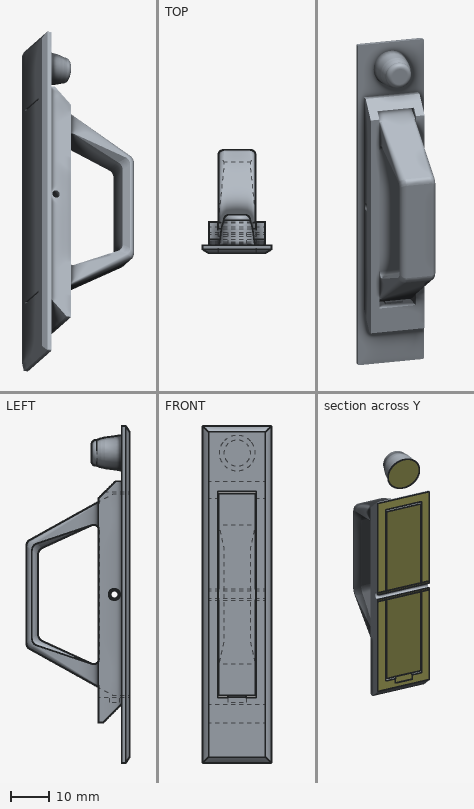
import cadquery as cq
import math


plate_width = 18.0
plate_length = 88.0
plate_thickness = 2.1
bevel_width = 1.6
bevel_depth = 1.1
plate_corner_radius = 0.35

housing_width = 14.7
housing_rear = 8.2
housing_top = 29.6
housing_bottom = -33.4
top_slope_start = 3.7
bottom_slope_end = 6.95

slot_width = 9.9
slot_length = 53.7
side_gap = 0.13
end_gap = 0.5
block_width = slot_width - 2 * side_gap
block_length = slot_length - 2 * end_gap
block_end_depth = 4.4

block_rear = 8.0
pivot_y = block_rear / 2
pin_diameter = 3.0
pin_bore = 2.0

grip_rear = 27.0
grip_thickness = 3.1
grip_front = grip_rear - grip_thickness
grip_outer = (grip_rear, 13.7)
grip_inner = (grip_front, 11.6)
root_outer = (block_rear, 24.3)
root_inner = (block_rear, 18.9)
grip_round = 1.4
root_round = 0.6
grip_chamfer_depth = 1.6
grip_chamfer_width = 1.4
root_chamfer = 0.1
outer_bend_radius = 1.8
inner_bend_radius = 2.0
root_fillet = 1.4
bend_steps = 4

catch_width = 4.75
catch_thickness = 2.6
catch_recess = 1.3

knob_z = 37.0
knob_height = 7.9
knob_base_radius = 4.7
knob_shoulder = (4.05, 4.4)
knob_neck = (3.8, 5.5)
knob_rim = (3.4, 6.5)
knob_tip_radius = 2.1


def box_between(width, y_front, y_rear, z_low, z_high):
    """Box centred on X between the given Y and Z limits."""
    size_y = y_rear - y_front
    size_z = z_high - z_low
    box = cq.Workplane("XY").box(width, size_y, size_z)
    return box.translate((0, (y_front + y_rear) / 2, (z_low + z_high) / 2))


def pivot_cylinder(diameter):
    """Cylinder along X on the pivot axis, as long as the housing is wide."""
    plane = cq.Workplane("YZ", origin=(-housing_width / 2, 0, 0))
    return plane.center(pivot_y, 0).circle(diameter / 2).extrude(housing_width)


def catch_block():
    slot_end = -slot_length / 2
    return box_between(
        catch_width,
        pivot_y - catch_thickness / 2,
        pivot_y + catch_thickness / 2,
        slot_end - catch_recess,
        slot_end + end_gap,
    )


def make_plate():
    """Plate with rounded corners and a bevel all round its front."""
    half = plate_length / 2
    rim = box_between(plate_width, 0, plate_thickness, -half, half).edges("|Y").fillet(plate_corner_radius)
    bevel_angle = math.degrees(math.atan2(bevel_width, bevel_depth))
    base_margin = bevel_width / bevel_depth * (plate_thickness - bevel_depth)
    bevelled = (
        cq.Workplane("XZ", origin=(0, plate_thickness, 0))
        .rect(plate_width + 2 * base_margin, plate_length + 2 * base_margin)
        .extrude(plate_thickness, taper=bevel_angle)
    )
    return rim.intersect(bevelled)


def make_housing():
    """Side outline with 45 degree slopes at both ends, extruded across X."""
    outline = [
        (plate_thickness, housing_top),
        (top_slope_start, housing_top),
        (housing_rear, housing_top - (housing_rear - top_slope_start)),
        (housing_rear, housing_bottom),
        (bottom_slope_end, housing_bottom),
        (plate_thickness, housing_bottom + bottom_slope_end - plate_thickness),
    ]
    return cq.Workplane("YZ").polyline(outline).close().extrude(housing_width / 2, both=True)


def make_frame():
    slot = box_between(slot_width, 0, housing_rear, -slot_length / 2, slot_length / 2)
    frame = make_plate().union(make_housing()).cut(slot)
    return frame.cut(pivot_cylinder(pin_diameter)).cut(catch_block())


def leg_section(outer, inner, round_width, round_part, chamfer_width, chamfer_part):
    """Closed wire from the outer to the inner (y, z) point of the handle's side outline.

    The outer corners are rounded and the inner corners chamfered; the two parts are
    fractions of the distance from outer to inner.
    """

    def point(x, part):
        y = outer[0] + part * (inner[0] - outer[0])
        z = outer[1] + part * (inner[1] - outer[1])
        return cq.Vector(x, y, z)

    half = block_width / 2
    flat = half - round_width
    arc_x = flat + round_width * math.sqrt(0.5)
    arc_part = round_part * (1 - math.sqrt(0.5))
    inner_x = half - chamfer_width
    edges = [
        cq.Edge.makeLine(point(-flat, 0), point(flat, 0)),
        cq.Edge.makeThreePointArc(point(flat, 0), point(arc_x, arc_part), point(half, round_part)),
        cq.Edge.makeLine(point(half, round_part), point(half, 1 - chamfer_part)),
        cq.Edge.makeLine(point(half, 1 - chamfer_part), point(inner_x, 1)),
        cq.Edge.makeLine(point(inner_x, 1), point(-inner_x, 1)),
        cq.Edge.makeLine(point(-inner_x, 1), point(-half, 1 - chamfer_part)),
        cq.Edge.makeLine(point(-half, 1 - chamfer_part), point(-half, round_part)),
        cq.Edge.makeThreePointArc(point(-half, round_part), point(-arc_x, arc_part), point(-flat, 0)),
    ]
    return cq.Wire.assembleEdges(edges)


def rounded_corner(start, corner, end, radius, fraction):
    """Point (y, z) on the arc that rounds the corner of the path start - corner - end.

    Fraction 0 is the tangent point towards start, 1 the tangent point towards end.
    """
    arrive = math.atan2(corner[1] - start[1], corner[0] - start[0])
    leave = math.atan2(end[1] - corner[1], end[0] - corner[0])
    turn = math.remainder(leave - arrive, 2 * math.pi)
    tangent_length = radius * math.tan(abs(turn) / 2)
    chord = 2 * radius * math.sin(abs(turn) * fraction / 2)
    chord_angle = arrive + turn * fraction / 2
    return (
        corner[0] - tangent_length * math.cos(arrive) + chord * math.cos(chord_angle),
        corner[1] - tangent_length * math.sin(arrive) + chord * math.sin(chord_angle),
    )


def foot_fillet_point(fraction):
    """Point on the concave fillet between a leg's inner face and the rear of the block."""
    return rounded_corner(grip_inner, root_inner, (block_rear, 0), root_fillet, fraction)


def foot_section():
    """End of the leg at the block, sloping from the outer root to the start of the foot fillet."""
    inner = foot_fillet_point(0)
    depth = math.dist(root_outer, inner)
    return leg_section(
        root_outer, inner, root_round, root_round / depth, root_chamfer, root_chamfer / depth
    )


def bend_section(fraction):
    """Section through the bend, from the leg (fraction 0) to the grip (fraction 1)."""
    return leg_section(
        rounded_corner(root_outer, grip_outer, (grip_rear, 0), outer_bend_radius, fraction),
        rounded_corner(root_inner, grip_inner, (grip_front, 0), inner_bend_radius, fraction),
        grip_round,
        grip_round / grip_thickness,
        grip_chamfer_width,
        grip_chamfer_depth / grip_thickness,
    )


def make_block():
    """Block that fills the slot; its rear corners follow the feet of the legs and their fillets."""
    fillet_start = foot_fillet_point(0)
    fillet_middle = foot_fillet_point(1 / 2)
    fillet_end = foot_fillet_point(1)

    def mirrored(point):
        return point[0], -point[1]

    outline = (
        cq.Workplane("YZ")
        .moveTo(0, block_length / 2)
        .lineTo(block_end_depth, block_length / 2)
        .lineTo(*root_outer)
        .lineTo(*fillet_start)
        .threePointArc(fillet_middle, fillet_end)
        .lineTo(*mirrored(fillet_end))
        .threePointArc(mirrored(fillet_middle), mirrored(fillet_start))
        .lineTo(*mirrored(root_outer))
        .lineTo(block_end_depth, -block_length / 2)
        .lineTo(0, -block_length / 2)
        .close()
    )
    return outline.extrude(block_width / 2, both=True)


def make_handle():
    leg = cq.Solid.makeLoft([foot_section(), bend_section(0)], True)
    bend_sections = [bend_section(step / bend_steps) for step in range(bend_steps + 1)]
    bend = cq.Solid.makeLoft(bend_sections)
    grip_end = bend_section(1)
    grip = cq.Solid.makeLoft([grip_end, grip_end.mirror("XY")], True)
    upper_arm = cq.Workplane(leg).union(cq.Workplane(bend))
    lower_arm = upper_arm.mirror("XY")
    handle = make_block().union(upper_arm).union(lower_arm).union(cq.Workplane(grip))
    return handle.cut(pivot_cylinder(pin_diameter))


def make_pivot_pin():
    return pivot_cylinder(pin_diameter).cut(pivot_cylinder(pin_bore))


def make_knob():
    """Turned knob: its half outline, in radius and height, is revolved about the Y direction."""
    outline = (
        cq.Workplane("XY")
        .lineTo(0, knob_height)
        .lineTo(knob_tip_radius, knob_height)
        .tangentArcPoint(knob_rim, relative=False)
        .lineTo(*knob_neck)
        .lineTo(*knob_shoulder)
        .lineTo(knob_base_radius, 0)
        .close()
    )
    knob = outline.revolve(360, (0, 0, 0), (0, 1, 0))
    return knob.translate((0, plate_thickness, knob_z))


frame = make_frame()
handle = make_handle()
pivot_pin = make_pivot_pin()
catch = catch_block()
knob = make_knob()

result = cq.Compound.makeCompound(
    [frame.val(), handle.val(), pivot_pin.val(), catch.val(), knob.val()]
)